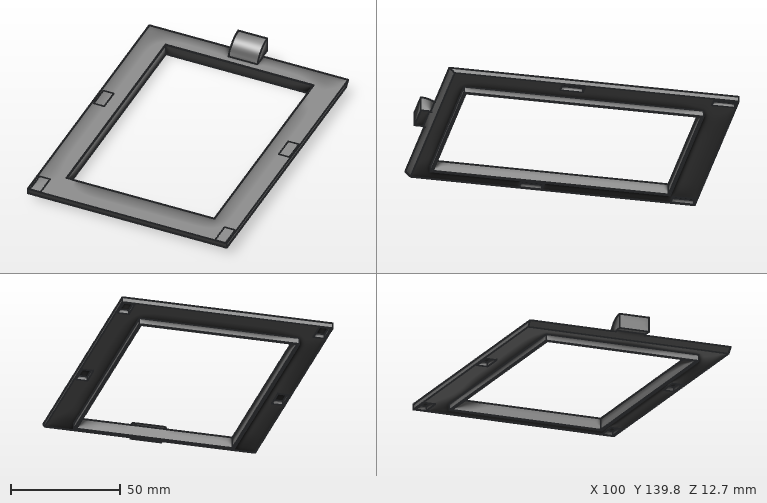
import cadquery as cq

plate_width = 100.0
plate_length = 135.3
plate_thickness = 2.5

lip_wall = 1.0
lip_width = 76.0
lip_length = 112.0
lip_height = 3.0
lip_front = 14.0
opening_width = lip_width - 2 * lip_wall
opening_length = lip_length - 2 * lip_wall
opening_front = lip_front + lip_wall
opening_chamfer = 0.1

overall_length = 139.8
overall_height = 12.7
tab_width = 14.5
tab_length = 11.0
tab_base_gap = 0.4
tab_height = overall_height - plate_thickness - lip_height
tab_arc_radius = (tab_length**2 + tab_height**2) / (2 * tab_height)

pocket_width = 5.3
pocket_length = 10.6
pocket_side_margin = 0.8
pocket_fronts = (0.7, 71.6)
pocket_roof = 0.4
pocket_depth = plate_thickness - pocket_roof
pocket_offset = plate_width / 2 - pocket_side_margin - pocket_width / 2


def block(width, length, height, front, top):
    """Box centred on X, running back from `front` and down from `top`."""
    return (
        cq.Workplane("XY", origin=(0, front, top - height))
        .box(width, length, height, centered=(True, False, False))
    )


def side_profile(width):
    """Workplane for a YZ outline that is extruded to a width centred on X."""
    return cq.Workplane("YZ", origin=(-width / 2, 0, 0))


def make_frame():
    """Plate and lip with the opening through both, its upper rim lightly chamfered."""
    plate = (
        side_profile(plate_width)
        .lineTo(plate_length, 0)
        .lineTo(plate_length - plate_thickness, -plate_thickness)
        .lineTo(0, -plate_thickness)
        .close()
        .extrude(plate_width)
    )
    lip = block(lip_width, lip_length, lip_height, lip_front, -plate_thickness)
    opening = block(opening_width, opening_length, plate_thickness + lip_height, opening_front, 0)
    frame = plate.union(lip).cut(opening)
    rim_region = cq.selectors.BoxSelector(
        (-lip_width / 2, lip_front, -plate_thickness),
        (lip_width / 2, lip_front + lip_length, plate_thickness),
    )
    return frame.faces(">Z").edges(rim_region).chamfer(opening_chamfer)


def make_tab():
    """Tab whose overhang carries the 45 degree undercut of the plate up to a flat base."""
    return (
        side_profile(tab_width)
        .moveTo(overall_length - tab_length, 0)
        .radiusArc((overall_length, tab_height), tab_arc_radius)
        .lineTo(overall_length, tab_base_gap)
        .lineTo(plate_length + tab_base_gap, tab_base_gap)
        .lineTo(plate_length, 0)
        .close()
        .extrude(tab_width)
    )


result = make_frame().union(make_tab())
for front in pocket_fronts:
    for side in (-1, 1):
        pocket = block(pocket_width, pocket_length, pocket_depth, front, -pocket_roof)
        result = result.cut(pocket.translate((side * pocket_offset, 0, 0)))